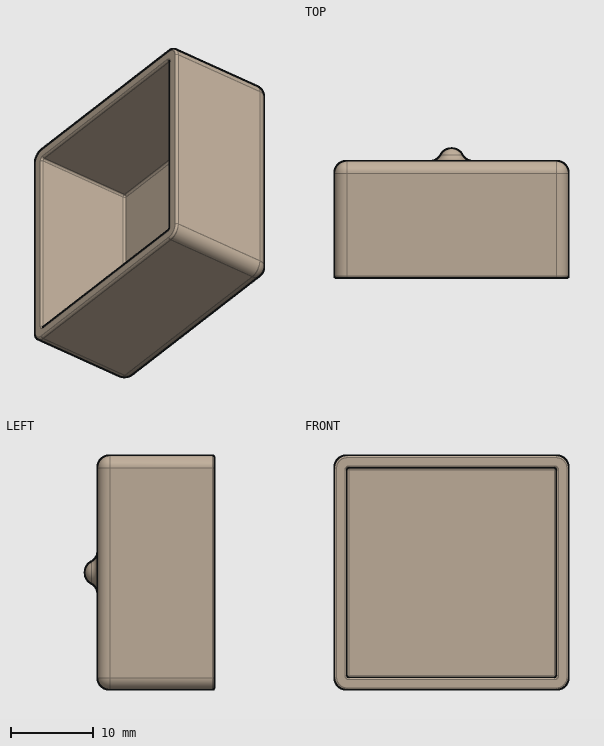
import cadquery as cq
import math

width = 28.45
body_depth = 14.22
outer_radius = 1.5
rim_outer_radius = 0.28

wall = 1.55
floor_thickness = 1.5
inner_radius = 0.25

dome_radius = 1.55
blend_radius = 1.3
root_depth = 0.28


def square_bar(side, y_start, y_end):
    """Square bar along Y between two positions."""
    bar = cq.Workplane("XY").box(side, y_end - y_start, side)
    return bar.translate((0, (y_start + y_end) / 2, 0))


def make_body():
    body = square_bar(width, 0, body_depth)
    body = body.edges("|Y").fillet(outer_radius)
    return body.faces(">Y").edges().fillet(outer_radius)


def make_cavity():
    cavity = square_bar(width - 2 * wall, 0, body_depth - floor_thickness)
    cavity = cavity.edges("|Y").fillet(inner_radius)
    return cavity.faces(">Y").edges().fillet(inner_radius)


def make_button():
    """Revolve the dome and its tangent concave blend about the Y axis."""
    centre_distance = dome_radius + blend_radius
    foot_radius = math.sqrt(centre_distance**2 - blend_radius**2)
    tilt = math.asin(blend_radius / centre_distance)

    def dome_point(angle):
        return (dome_radius * math.cos(angle), body_depth + dome_radius * math.sin(angle))

    middle_direction = (math.pi + tilt + 3 * math.pi / 2) / 2
    blend_middle = (
        foot_radius + blend_radius * math.cos(middle_direction),
        body_depth + blend_radius + blend_radius * math.sin(middle_direction),
    )
    return (
        cq.Workplane("XY")
        .moveTo(0, body_depth - root_depth)
        .lineTo(foot_radius, body_depth - root_depth)
        .lineTo(foot_radius, body_depth)
        .threePointArc(blend_middle, dome_point(tilt))
        .threePointArc(dome_point((tilt + math.pi / 2) / 2), dome_point(math.pi / 2))
        .close()
        .revolve(360, (0, 0, 0), (0, 1, 0))
    )


shell = make_body().cut(make_cavity())
rim_face = shell.faces("<Y").val()
shell = shell.newObject(rim_face.outerWire().Edges()).fillet(rim_outer_radius)
rim_mouth = shell.faces("<Y").val().innerWires()[0]
shell = shell.newObject(rim_mouth.Edges()).fillet(inner_radius)
result = shell.union(make_button())